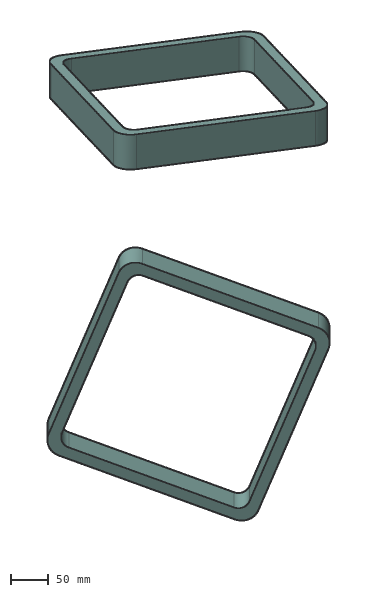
import cadquery as cq

side = 300.0
height = 50.0
wall = 16.0
outer_corner_radius = 24.0
inner_corner_radius = 16.0

opening = side - 2 * wall


def rounded_square_block(width, corner_radius):
    """Square block of the frame's height with rounded vertical edges."""
    return cq.Workplane("XY").rect(width, width).extrude(height).edges("|Z").fillet(corner_radius)


outer_block = rounded_square_block(side, outer_corner_radius)
opening_block = rounded_square_block(opening, inner_corner_radius)
result = outer_block.cut(opening_block)